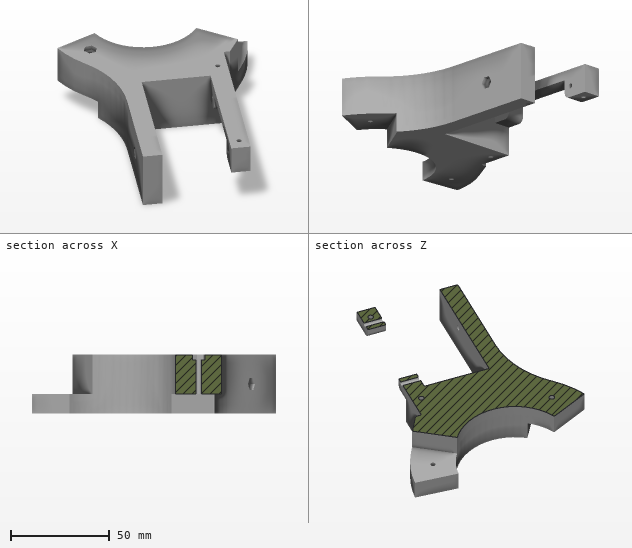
import cadquery as cq
import math

ARM_ANGLE = -30
HEIGHT = 30.0
LAP_HEIGHT = HEIGHT / 3
OVERSIZE = 129.8
SELECT_MARGIN = 1.3

RING_INNER_R = 30.0
RING_OUTER_R = 53.2
RING_MID_R = (RING_INNER_R + RING_OUTER_R) / 2
JOINT_PITCH = 120
TONGUE_START = 25.5
TONGUE_SPAN = 29.8
TONGUE_END = TONGUE_START + TONGUE_SPAN
JOINT_CLEARANCE = 0.5
SOCKET_END = TONGUE_START + JOINT_CLEARANCE - JOINT_PITCH
SOCKET_START = TONGUE_END - JOINT_PITCH
SOCKET_CORNER = (24.0, -48.4)

ARM_WIDTH = 10.0
ARM_END = 125.3
UPPER_ARM_OUT = 35.0
UPPER_ARM_IN = UPPER_ARM_OUT - ARM_WIDTH
UPPER_ARM_MID = UPPER_ARM_OUT - ARM_WIDTH / 2
LOWER_ARM_OUT = -20.4
LOWER_ARM_IN = LOWER_ARM_OUT + ARM_WIDTH
SLOT_BASE = 60.0
SHOULDER_X = 40.2
BLEND_R = 50.0

BEAM_THICKNESS = ARM_WIDTH / 2
PAD_DEPTH = HEIGHT / 2
PAD_CORNER_R = 3.0
RELIEF_START = 70.1
RELIEF_END = 110.5

HOLE_D = 2.6
NUT_CORNERS_D = 7.0
NUT_DEPTH = 2.5
ARM_SCREW_XS = (51.9, 119.1)
PAD_SCREW_INSET = 4.2
PAD_SCREW_Z = HEIGHT - 9.1
LOWER_SCREW_X = 100.2


def polar(radius, angle):
    turn = math.radians(angle)
    return (radius * math.cos(turn), radius * math.sin(turn))


def box(x0, x1, y0, y1, z0, z1):
    return cq.Workplane("XY").box(x1 - x0, y1 - y0, z1 - z0, centered=False).translate((x0, y0, z0))


def vertical_hole(x, y):
    return cq.Workplane("XY").center(x, y).circle(HOLE_D / 2).extrude(HEIGHT)


def cross_plane(x, y, z):
    """Plane facing across the arms (local +Y), with its x axis along them."""
    return cq.Workplane(cq.Plane((x, y, z), xDir=(1, 0, 0), normal=(0, 1, 0)))


def body():
    """Full-height outline of ring segment and both arms, in the local frame."""
    first = TONGUE_END - ARM_ANGLE
    last = SOCKET_END - ARM_ANGLE
    blend_y = LOWER_ARM_OUT - BLEND_R
    blend_angle = math.degrees(math.asin(blend_y / (RING_OUTER_R + BLEND_R)))
    blend_x, _ = polar(RING_OUTER_R + BLEND_R, blend_angle)
    mid_x, mid_y = polar(BLEND_R, (90 + blend_angle + 180) / 2)
    flat_start = 2 * -ARM_ANGLE
    flat_x, flat_y = polar(RING_OUTER_R, flat_start)
    slope = math.tan(math.radians(flat_start))
    shoulder_top = (SHOULDER_X, flat_y - (SHOULDER_X - flat_x) / slope)
    return (
        cq.Workplane("XY")
        .moveTo(*polar(RING_INNER_R, first))
        .lineTo(*polar(RING_OUTER_R, first))
        .threePointArc(polar(RING_OUTER_R, (first + flat_start) / 2), (flat_x, flat_y))
        .lineTo(*shoulder_top)
        .lineTo(SHOULDER_X, UPPER_ARM_OUT)
        .lineTo(ARM_END, UPPER_ARM_OUT)
        .lineTo(ARM_END, UPPER_ARM_IN)
        .lineTo(SLOT_BASE, UPPER_ARM_IN)
        .lineTo(SLOT_BASE, LOWER_ARM_IN)
        .lineTo(ARM_END, LOWER_ARM_IN)
        .lineTo(ARM_END, LOWER_ARM_OUT)
        .lineTo(blend_x, LOWER_ARM_OUT)
        .threePointArc((blend_x + mid_x, blend_y + mid_y), polar(RING_OUTER_R, blend_angle))
        .threePointArc(polar(RING_OUTER_R, (blend_angle + last) / 2), polar(RING_OUTER_R, last))
        .lineTo(*polar(RING_INNER_R, last))
        .threePointArc(polar(RING_INNER_R, (first + last) / 2), polar(RING_INNER_R, first))
        .close()
        .extrude(HEIGHT)
    )


def arm_relief():
    pad_bottom = HEIGHT - PAD_DEPTH
    relief = box(RELIEF_START, RELIEF_END, UPPER_ARM_IN, UPPER_ARM_OUT, 0, HEIGHT - BEAM_THICKNESS)
    below_pads = box(SLOT_BASE, ARM_END, UPPER_ARM_IN, UPPER_ARM_OUT, 0, pad_bottom)
    return (
        below_pads.union(relief)
        .edges(cq.selectors.BoxSelector(
            (RELIEF_START - SELECT_MARGIN, UPPER_ARM_IN - SELECT_MARGIN, pad_bottom - SELECT_MARGIN),
            (RELIEF_END + SELECT_MARGIN, UPPER_ARM_OUT + SELECT_MARGIN, pad_bottom + SELECT_MARGIN),
        ))
        .edges("|Y")
        .fillet(PAD_CORNER_R)
    )


def arm_holes():
    holes = cross_plane(LOWER_SCREW_X, LOWER_ARM_OUT, HEIGHT / 2).circle(HOLE_D / 2).extrude(ARM_WIDTH)
    nut = cross_plane(LOWER_SCREW_X, LOWER_ARM_OUT, HEIGHT / 2).polygon(6, NUT_CORNERS_D).extrude(NUT_DEPTH)
    holes = holes.union(nut)
    for x in ARM_SCREW_XS:
        holes = holes.union(vertical_hole(x, UPPER_ARM_MID))
    for x in (RELIEF_START - PAD_SCREW_INSET, RELIEF_END + PAD_SCREW_INSET):
        holes = holes.union(cross_plane(x, UPPER_ARM_IN, PAD_SCREW_Z).circle(HOLE_D / 2).extrude(ARM_WIDTH))
    return holes


def above_tongue():
    """Wedge that leaves only the lower third of the ring at the tongue."""
    return (
        cq.Workplane("XY", origin=(0, 0, LAP_HEIGHT))
        .polyline([(0, 0), polar(OVERSIZE, TONGUE_START), polar(OVERSIZE, TONGUE_END + TONGUE_SPAN)])
        .close()
        .extrude(HEIGHT)
    )


def socket():
    """Recess below the other ring end, matching the tongue of a neighbouring part."""
    wall_x, _ = SOCKET_CORNER
    return (
        cq.Workplane("XY")
        .polyline([
            (0, 0),
            polar(RING_INNER_R, SOCKET_START),
            SOCKET_CORNER,
            (wall_x, -OVERSIZE),
            polar(OVERSIZE, SOCKET_END - TONGUE_SPAN),
        ])
        .close()
        .extrude(LAP_HEIGHT)
    )


def joint_holes():
    """Screw holes in the middle of tongue and socket, with a nut pocket above the socket."""
    tongue_screw = TONGUE_START + TONGUE_SPAN / 2
    socket_screw = tongue_screw + JOINT_CLEARANCE - JOINT_PITCH
    nut = (
        cq.Workplane("XY", origin=(RING_MID_R, 0, HEIGHT - NUT_DEPTH))
        .transformed(rotate=(0, 0, 90))
        .polygon(6, NUT_CORNERS_D)
        .extrude(NUT_DEPTH)
        .rotate((0, 0, 0), (0, 0, 1), socket_screw)
    )
    return (
        vertical_hole(*polar(RING_MID_R, tongue_screw))
        .union(vertical_hole(*polar(RING_MID_R, socket_screw)))
        .union(nut)
    )


arms = body().cut(arm_relief()).cut(arm_holes())
result = arms.rotate((0, 0, 0), (0, 0, 1), ARM_ANGLE)
result = result.cut(above_tongue()).cut(socket()).cut(joint_holes())